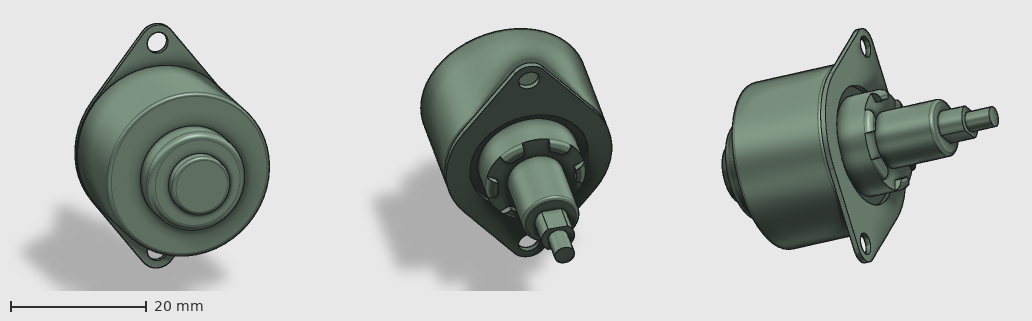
import cadquery as cq
import math


flange_thickness = 0.8
flange_opening_diameter = 18.0
flange_end_radius = 2.75
mount_hole_diameter = 3.2
mount_hole_offset = 16.0

body_diameter = 25.2
body_length = 15.0
body_edge_radius = 0.5

rear_boss_diameter = 15.16
rear_boss_length = 4.0
rear_boss_edge_radius = 1.0
rear_hub_diameter = 9.0
rear_hub_length = 2.0
rear_hub_edge_radius = 0.5

front_boss_diameter = 15.2
front_boss_length = 3.8
tooth_height = 1.0
tooth_edge_radius = 1.0
tooth_ring_inner_diameter = 12.0
tooth_count = 6
tooth_gap_width = 4.0

bushing_diameter = 8.6
bushing_length = 9.6
bushing_edge_radius = 0.5
shaft_diameter = 5.0
shaft_length = 4.0
shaft_across_flats = 4.0
pin_diameter = 3.0
pin_length = 4.0

body_front_x = flange_thickness
body_rear_x = body_front_x + body_length
rear_boss_end_x = body_rear_x + rear_boss_length
front_boss_end_x = -front_boss_length
bushing_end_x = front_boss_end_x - bushing_length
shaft_end_x = bushing_end_x - shaft_length
pin_end_x = shaft_end_x - pin_length


def cylinder(start_x, length, diameter):
    """Solid cylinder along +X beginning at start_x."""
    return cq.Workplane("YZ", origin=(start_x, 0, 0)).circle(diameter / 2).extrude(length)


def make_flange():
    """Diamond plate whose straight sides are tangent to the centre disc and the end arcs."""
    body_radius = body_diameter / 2
    normal_z = (body_radius - flange_end_radius) / mount_hole_offset
    normal_y = math.sqrt(1 - normal_z**2)
    side_y = body_radius * normal_y
    side_z = body_radius * normal_z
    end_y = flange_end_radius * normal_y
    end_z = mount_hole_offset + flange_end_radius * normal_z
    tip_z = mount_hole_offset + flange_end_radius

    plate = (
        cq.Workplane("YZ")
        .moveTo(side_y, -side_z)
        .threePointArc((body_radius, 0), (side_y, side_z))
        .lineTo(end_y, end_z)
        .threePointArc((0, tip_z), (-end_y, end_z))
        .lineTo(-side_y, side_z)
        .threePointArc((-body_radius, 0), (-side_y, -side_z))
        .lineTo(-end_y, -end_z)
        .threePointArc((0, -tip_z), (end_y, -end_z))
        .close()
        .extrude(flange_thickness)
    )
    mount_holes = (
        cq.Workplane("YZ")
        .pushPoints([(0, mount_hole_offset), (0, -mount_hole_offset)])
        .circle(mount_hole_diameter / 2)
        .extrude(flange_thickness)
    )
    opening = cylinder(0, flange_thickness, flange_opening_diameter)
    return plate.cut(mount_holes).cut(opening)


def make_body():
    """Main drum, rounded at both rims."""
    return cylinder(body_front_x, body_length, body_diameter).edges().fillet(body_edge_radius)


def make_rear_end():
    """Rear boss and hub, each rounded at its free rim."""
    boss = cylinder(body_rear_x, rear_boss_length, rear_boss_diameter)
    boss = boss.faces(">X").edges().fillet(rear_boss_edge_radius)
    hub = cylinder(rear_boss_end_x, rear_hub_length, rear_hub_diameter)
    hub = hub.faces(">X").edges().fillet(rear_hub_edge_radius)
    return boss.union(hub)


def make_front_boss():
    """Boss that passes through the flange opening to meet the body."""
    return cylinder(front_boss_end_x, body_front_x - front_boss_end_x, front_boss_diameter)


def make_teeth():
    """Ring with a rounded outer rim, split into teeth by parallel-sided gaps."""
    inner_radius = tooth_ring_inner_diameter / 2
    outer_radius = front_boss_diameter / 2
    tip_x = front_boss_end_x - tooth_height
    rim_radius = outer_radius - tooth_edge_radius
    rim_center_x = tip_x + tooth_edge_radius
    arc_reach = tooth_edge_radius * math.sqrt(0.5)

    ring = (
        cq.Workplane("XY")
        .moveTo(front_boss_end_x, inner_radius)
        .lineTo(tip_x, inner_radius)
        .lineTo(tip_x, rim_radius)
        .threePointArc(
            (rim_center_x - arc_reach, rim_radius + arc_reach),
            (rim_center_x, outer_radius),
        )
        .close()
        .revolve(360, (0, 0, 0), (1, 0, 0))
    )
    gap = cq.Workplane("XY").box(tooth_height, tooth_gap_width, front_boss_diameter)
    gap = gap.translate((front_boss_end_x - tooth_height / 2, 0, 0))
    pitch_angle = 360 / tooth_count
    for index in range(tooth_count // 2):
        ring = ring.cut(gap.rotate((0, 0, 0), (1, 0, 0), index * pitch_angle))
    return ring


def make_bushing():
    """Plain bushing, rounded at its free rim."""
    bushing = cylinder(bushing_end_x, bushing_length, bushing_diameter)
    return bushing.faces("<X").edges().fillet(bushing_edge_radius)


def make_shaft():
    """Shaft with flats facing up and down, ending in a round pin."""
    flats = cq.Workplane("XY").box(shaft_length, shaft_diameter, shaft_across_flats)
    flats = flats.translate((shaft_end_x + shaft_length / 2, 0, 0))
    shaft = cylinder(shaft_end_x, shaft_length, shaft_diameter).intersect(flats)
    return shaft.union(cylinder(pin_end_x, pin_length, pin_diameter))


result = (
    make_body()
    .union(make_flange())
    .union(make_rear_end())
    .union(make_front_boss())
    .union(make_teeth())
    .union(make_bushing())
    .union(make_shaft())
)